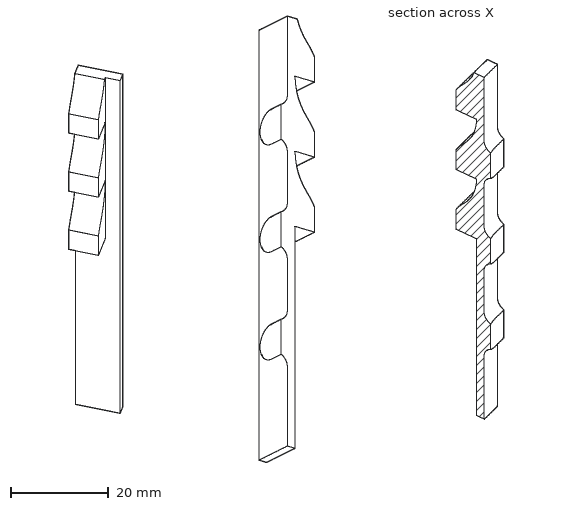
import cadquery as cq
import math

plate_width = 9.525
plate_thickness = 2.0
plate_length = 95.5

tooth_count = 3
tooth_width = 6.35
tooth_depth = 5.08
tooth_pitch = 16.67
tooth_tip_height = 5.56
tooth_arc_radius = 12.7
tooth_arc_rise = 8.42
lowest_tooth_z = 49.3

pad_count = 3
pad_height = 1.5875
pad_center_x = plate_width / 3
pad_base_radius = 6.3
pad_flank_radius = 2.6
pad_spacing = plate_length / (pad_count + 1)
half_turn = 180


def make_plate():
    return cq.Workplane("XY").box(plate_width, plate_thickness, plate_length, centered=False)


def make_tooth(base_z):
    """Flat underside and tip, then a convex arc and a concave arc that runs out into the plate face."""
    sweep = math.asin(tooth_arc_rise / tooth_arc_radius)
    top_z = base_z + tooth_pitch
    tip_z = base_z + tooth_tip_height
    bend_y = -tooth_arc_radius * (1 - math.cos(sweep))
    bend_z = top_z - tooth_arc_rise

    concave_mid = (
        -tooth_arc_radius * (1 - math.cos(sweep / 2)),
        top_z - tooth_arc_radius * math.sin(sweep / 2),
    )

    chord_y = -tooth_depth - bend_y
    chord_z = tip_z - bend_z
    chord = math.hypot(chord_y, chord_z)
    sagitta = tooth_arc_radius - math.sqrt(tooth_arc_radius**2 - (chord / 2) ** 2)
    convex_mid = (
        (bend_y - tooth_depth) / 2 + sagitta * chord_z / chord,
        (bend_z + tip_z) / 2 - sagitta * chord_y / chord,
    )

    root_y = plate_thickness / 2
    return (
        cq.Workplane("YZ")
        .moveTo(root_y, base_z)
        .lineTo(-tooth_depth, base_z)
        .lineTo(-tooth_depth, tip_z)
        .threePointArc(convex_mid, (bend_y, bend_z))
        .threePointArc(concave_mid, (0, top_z))
        .lineTo(root_y, top_z)
        .close()
        .extrude(tooth_width)
    )


def pad_half_profile(center_z):
    """Upper half of a pad's section at its round end; the flank is tangent to the plate."""
    sweep = math.acos(1 - pad_height / pad_flank_radius)
    crest_radius = pad_base_radius - pad_flank_radius * math.sin(sweep)
    flank_mid = (
        pad_base_radius - pad_flank_radius * math.sin(sweep / 2),
        pad_flank_radius * (1 - math.cos(sweep / 2)),
    )
    embed = plate_thickness / 2
    section_plane = cq.Plane((pad_center_x, plate_thickness, center_z), xDir=(0, 0, 1), normal=(-1, 0, 0))
    return (
        cq.Workplane(section_plane)
        .moveTo(0, -embed)
        .lineTo(pad_base_radius, -embed)
        .lineTo(pad_base_radius, 0)
        .threePointArc(flank_mid, (crest_radius, pad_height))
        .lineTo(0, pad_height)
        .close()
    )


def make_pad(center_z):
    """Straight run from the X = 0 edge, closed by a half-round end towards the far edge."""
    round_end = pad_half_profile(center_z).revolve(half_turn, (0, 0, 0), (0, 1, 0))
    upper_run = pad_half_profile(center_z).extrude(pad_center_x)
    lower_run = upper_run.mirror("XY", (0, 0, center_z))
    return round_end.union(upper_run).union(lower_run)


result = make_plate()
for i in range(tooth_count):
    result = result.union(make_tooth(lowest_tooth_z + i * tooth_pitch))
for i in range(pad_count):
    result = result.union(make_pad((i + 1) * pad_spacing))

top_trim = (
    cq.Workplane("XY")
    .box(2 * plate_length, 2 * plate_length, tooth_pitch, centered=(True, True, False))
    .translate((0, 0, plate_length))
)
result = result.cut(top_trim).clean()